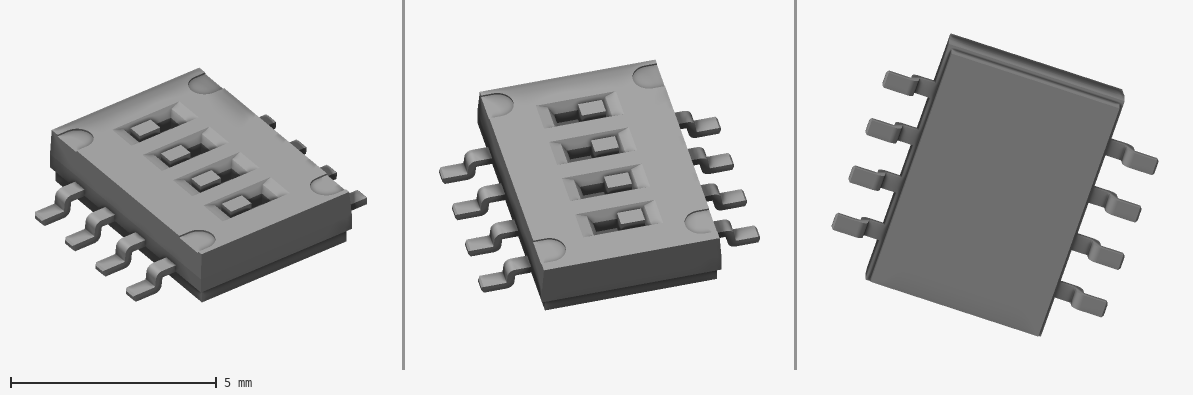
import cadquery as cq
import math


housing_length = 6.31
housing_width = 4.5
housing_height = 1.5
base_inset = 0.1
base_height = 0.4
band_top = 0.795
draft_inset = 0.05

switch_count = 4
switch_pitch = 1.27

slot_length = 2.0
slot_width = 0.8
ledge_length = 1.44
ledge_width = 0.68
ledge_depth = 0.06
well_length = 1.2
well_width = 0.4
funnel_depth = 0.2
well_depth = 0.525
actuator_length = well_length / 2

pocket_radius = 0.4
pocket_depth = 0.05
pocket_left_x = -2.51
pocket_right_x = 2.575
pocket_center_y = 1.9

lead_span = 6.98
lead_width = 0.4
lead_thickness = 0.195
lead_shoulder = 2.83
lead_lean = 6.0
outer_bend_radius = 0.195
inner_bend_radius = 0.03
tip_chamfer = 0.05

switch_positions = [(i - (switch_count - 1) / 2) * switch_pitch for i in range(switch_count)]


def frustum(top_x, top_y, top_z, bottom_x, bottom_y, bottom_z):
    """Four-sided solid between two centered rectangles with the given X and Y sizes."""
    return (
        cq.Workplane("XY", origin=(0, 0, bottom_z))
        .rect(bottom_x, bottom_y)
        .workplane(offset=top_z - bottom_z)
        .rect(top_x, top_y)
        .loft(ruled=True)
    )


def block(size_x, size_y, top_z, bottom_z):
    """Upright box centered on the Z axis."""
    return cq.Workplane("XY", origin=(0, 0, bottom_z)).rect(size_x, size_y).extrude(top_z - bottom_z)


def make_housing():
    base = block(housing_length - 2 * base_inset, housing_width - 2 * base_inset, base_height, 0)
    band = block(housing_length, housing_width, band_top, base_height)

    cover = (
        cq.Workplane("XY", origin=(0, 0, band_top))
        .rect(housing_length, housing_width)
        .workplane(offset=housing_height - band_top)
        .center(-draft_inset / 2, 0)
        .rect(housing_length - draft_inset, housing_width - 2 * draft_inset)
        .loft(ruled=True)
    )
    return base.union(band).union(cover)


def make_slot():
    """Cutter for one slot: gently sloped ends, a steeper funnel, then a straight well."""
    ledge_z = housing_height - ledge_depth
    funnel_z = housing_height - funnel_depth
    well_floor_z = housing_height - well_depth
    mouth = frustum(slot_width, slot_length, housing_height, ledge_width, ledge_length, ledge_z)
    funnel = frustum(ledge_width, ledge_length, ledge_z, well_width, well_length, funnel_z)
    well = block(well_width, well_length, funnel_z, well_floor_z)
    return mouth.union(funnel).union(well)


def make_actuator():
    """Slider filling the -Y half of the well, level with the top of the housing."""
    slider = block(well_width, actuator_length, housing_height, housing_height - well_depth)
    return slider.translate((0, -(well_length - actuator_length) / 2, 0))


def make_pocket(x, side):
    """Cutter for one corner pocket, open through the long wall on the given Y side."""
    floor_z = housing_height - pocket_depth
    run_out = housing_width / 2 - pocket_center_y
    round_end = (
        cq.Workplane("XY", origin=(x, side * pocket_center_y, floor_z))
        .circle(pocket_radius)
        .extrude(pocket_depth)
    )
    straight = (
        cq.Workplane("XY", origin=(x, side * (pocket_center_y + run_out / 2), floor_z))
        .rect(2 * pocket_radius, run_out)
        .extrude(pocket_depth)
    )
    return round_end.union(straight)


def make_lead():
    """Gull-wing lead on the +Y side, centered on X = 0, leaving the housing level with the band underside."""
    lean = math.radians(lead_lean)
    leg_breadth = lead_thickness / math.cos(lean)
    lead_top = base_height + lead_thickness
    root = housing_width / 2 - base_inset
    tip = lead_span / 2

    def leg_outer_y(z):
        return lead_shoulder + (lead_top - z) * math.tan(lean)

    upper_outer = (leg_outer_y(lead_top), lead_top)
    foot_inner = (leg_outer_y(lead_thickness), lead_thickness)
    foot_outer = (leg_outer_y(0) - leg_breadth, 0)
    upper_inner = (leg_outer_y(base_height) - leg_breadth, base_height)

    lead = (
        cq.Workplane("YZ", origin=(-lead_width / 2, 0, 0))
        .polyline([
            (root, lead_top), upper_outer, foot_inner, (tip, lead_thickness),
            (tip, 0), foot_outer, upper_inner, (root, base_height),
        ])
        .close()
        .extrude(lead_width)
    )

    def round_bends(body, corners, radius):
        for y, z in corners:
            body = body.edges(cq.selectors.NearestToPointSelector((0, y, z))).fillet(radius)
        return body

    lead = round_bends(lead, [upper_outer, foot_outer], outer_bend_radius)
    lead = round_bends(lead, [foot_inner, upper_inner], inner_bend_radius)
    return lead.faces(">Y").chamfer(tip_chamfer)


result = make_housing()

for pocket_x in (pocket_left_x, pocket_right_x):
    for pocket_side in (-1, 1):
        result = result.cut(make_pocket(pocket_x, pocket_side))

slot = make_slot()
actuator = make_actuator()
lead = make_lead()
opposite_lead = lead.mirror("XZ")
for switch_x in switch_positions:
    offset = (switch_x, 0, 0)
    result = result.cut(slot.translate(offset)).union(actuator.translate(offset))
    result = result.union(lead.translate(offset)).union(opposite_lead.translate(offset))